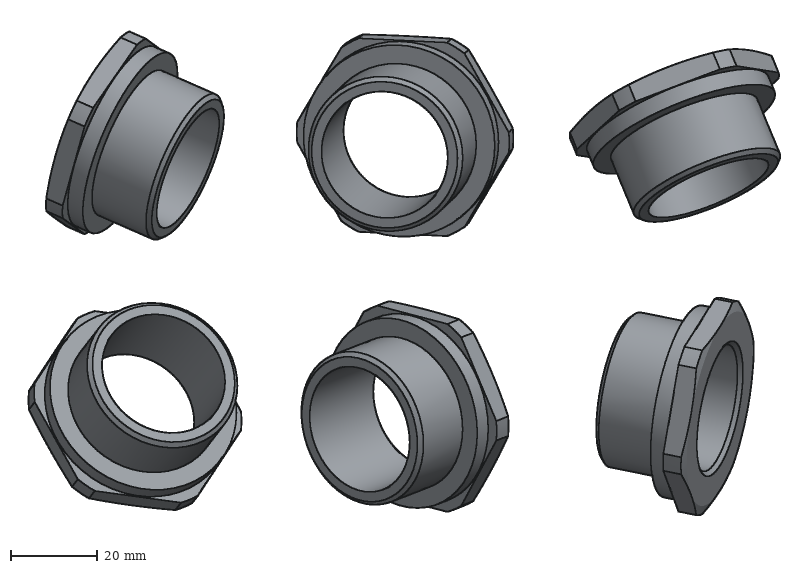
import math
import cadquery as cq

hexagon_sides = 6
across_flats = 46.0
corner_diameter = 50.58
hexagon_thickness = 5.0
hexagon_chamfer_angle = 15.0

collar_diameter = 45.5
collar_length = 4.0
spigot_diameter = 36.7
overall_length = 24.3
spigot_chamfer = 1.0

bore_diameter = 30.0
bore_chamfer = 1.0

collar_end = hexagon_thickness + collar_length


def cylinder_along_x(diameter, start, end):
    return cq.Workplane("YZ", origin=(start, 0, 0)).circle(diameter / 2).extrude(end - start)


def hexagon_flange():
    """Hexagon with flats facing +Z and -Z, its corners rounded and its rim at X = 0 chamfered."""
    across_corners = across_flats / math.cos(math.pi / hexagon_sides)
    hexagon = cq.Workplane("YZ").polygon(hexagon_sides, across_corners).extrude(hexagon_thickness)

    face_radius = across_flats / 2
    corner_radius = corner_diameter / 2
    chamfer_depth = (corner_radius - face_radius) * math.tan(math.radians(hexagon_chamfer_angle))
    envelope = (
        cq.Workplane("XY")
        .polyline([
            (0, 0),
            (0, face_radius),
            (chamfer_depth, corner_radius),
            (hexagon_thickness, corner_radius),
            (hexagon_thickness, 0),
        ])
        .close()
        .revolve(360, (0, 0, 0), (1, 0, 0))
    )
    return hexagon.intersect(envelope)


def spigot():
    body = cylinder_along_x(spigot_diameter, collar_end, overall_length)
    return body.faces(">X").chamfer(spigot_chamfer)


def bore():
    """Through hole with a conical lead-in at the flange face."""
    hole = cylinder_along_x(bore_diameter, 0, overall_length)
    lead_in = hole.faces("<X").workplane(origin=(0, 0, 0)).circle(bore_diameter / 2 + bore_chamfer)
    cone = lead_in.workplane(offset=-bore_chamfer).circle(bore_diameter / 2).loft(combine=False)
    return hole.union(cone)


collar = cylinder_along_x(collar_diameter, hexagon_thickness, collar_end)
result = hexagon_flange().union(collar).union(spigot()).cut(bore())